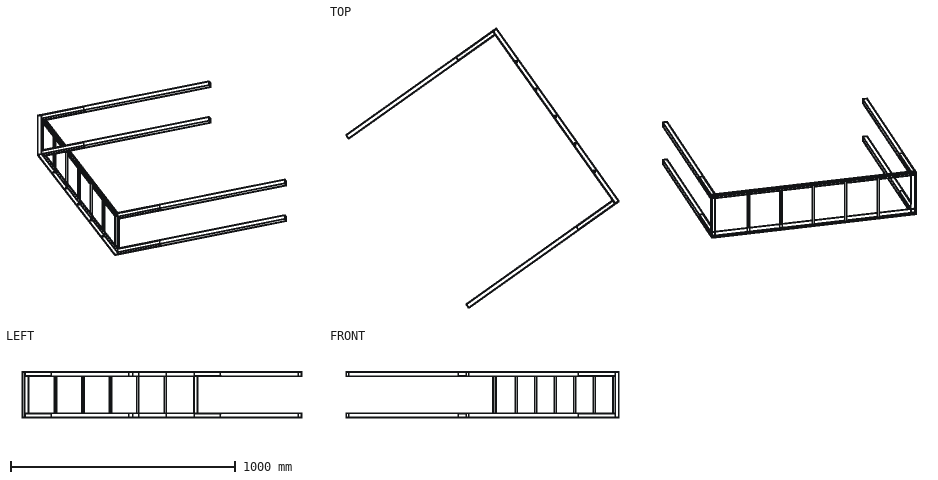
import cadquery as cq

heading = -54.635

frame_length = 944.0
frame_height = 204.0
member_size = 20.0
wall = 2.0

total_depth = 820.0
arm_length = total_depth - member_size
stub_length = 200.0
stub_size = member_size - 2 * wall

bar_count = 5
bar_diameter = 10.0
bar_pitch = 150.0
bar_length = frame_height - 2 * wall

front_y = -member_size / 2
corner_x = (frame_length - member_size) / 2
corner_z = (frame_height - member_size) / 2
corners = [(x * corner_x, front_y, z * corner_z) for x in (-1, 1) for z in (-1, 1)]


def square_rod(size, length):
    """Square rod running from the origin along -Y."""
    return cq.Workplane("XZ").rect(size, size).extrude(length)


def make_frame():
    """Angle-section frame: an outer band, a front flange and four corner stubs."""
    block = cq.Workplane("XY").box(frame_length, member_size, frame_height)
    opening = cq.Workplane("XY").box(
        frame_length - 2 * member_size, member_size, frame_height - 2 * member_size
    )
    inside = (
        cq.Workplane("XY")
        .box(frame_length - 2 * wall, member_size, frame_height - 2 * wall)
        .translate((0, wall, 0))
    )
    body = block.cut(opening).cut(inside)
    for corner in corners:
        body = body.union(square_rod(stub_size, stub_length).translate(corner))
    return body


def make_arm(corner):
    """Square arm with a socket that takes the frame stub."""
    socket = square_rod(stub_size, stub_length)
    return square_rod(member_size, arm_length).cut(socket).translate(corner)


def make_bar(x):
    """Round bar touching the back of the front flange."""
    y = front_y + wall + bar_diameter / 2
    return (
        cq.Workplane("XY")
        .circle(bar_diameter / 2)
        .extrude(bar_length)
        .translate((x, y, -bar_length / 2))
    )


frame = make_frame()
arms = [make_arm(corner) for corner in corners]
bars = [make_bar((i - (bar_count - 1) / 2) * bar_pitch) for i in range(bar_count)]

bodies = [frame, *arms, *bars]
turned_bodies = [body.rotate((0, 0, 0), (0, 0, 1), heading) for body in bodies]
result = cq.Compound.makeCompound([body.solids().val() for body in turned_bodies])